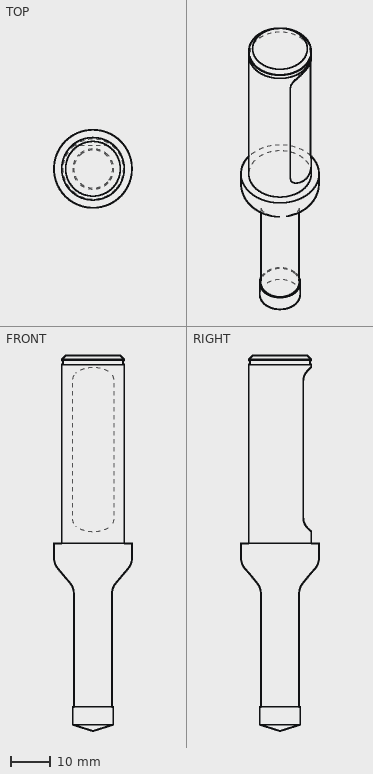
import cadquery as cq
import math

total_length = 96.0
shank_length = 48.0
shank_diameter = 15.99
shank_chamfer = 1.0

groove_top_drop = 1.2
groove_width = 1.2
groove_depth = 0.3

clamp_flat_depth = 2.0
clamp_flat_margin = 3.0
clamp_corner_radius = 3.5
clamp_bevel = math.radians(45)

flange_diameter = 20.0
flange_height = 3.8
flange_fillet_radius = 4.0
neck_diameter = 9.8
neck_fillet_radius = 4.0
flare_angle = math.radians(40)

tip_diameter = 10.4
tip_band_height = 4.55
tip_point_height = 1.65

point_z = shank_length - total_length
tip_band_bottom_z = point_z + tip_point_height
tip_seat_z = tip_band_bottom_z + tip_band_height


def arc_offset(radius, angle):
    """Radial and axial travel along an arc that starts parallel to the axis."""
    return radius * (1 - math.cos(angle)), radius * math.sin(angle)


def make_holder_blank():
    """Shank, flange, flared cone and neck, revolved about Z."""
    shank_r = shank_diameter / 2
    flange_r = flange_diameter / 2
    neck_r = neck_diameter / 2

    groove_top_z = shank_length - groove_top_drop
    groove_bottom_z = groove_top_z - groove_width
    groove_middle_z = (groove_top_z + groove_bottom_z) / 2

    upper_end = arc_offset(flange_fillet_radius, flare_angle)
    upper_mid = arc_offset(flange_fillet_radius, flare_angle / 2)
    lower_start = arc_offset(neck_fillet_radius, flare_angle)
    lower_mid = arc_offset(neck_fillet_radius, flare_angle / 2)

    cone_top_r = flange_r - upper_end[0]
    cone_top_z = -flange_height - upper_end[1]
    cone_bottom_r = neck_r + lower_start[0]
    cone_bottom_z = cone_top_z - (cone_top_r - cone_bottom_r) / math.tan(flare_angle)
    neck_top_z = cone_bottom_z - lower_start[1]

    profile = (
        cq.Workplane("XZ")
        .moveTo(0, shank_length)
        .lineTo(shank_r - shank_chamfer, shank_length)
        .lineTo(shank_r, shank_length - shank_chamfer)
        .lineTo(shank_r, groove_top_z)
        .threePointArc((shank_r - groove_depth, groove_middle_z), (shank_r, groove_bottom_z))
        .lineTo(shank_r, 0)
        .lineTo(flange_r, 0)
        .lineTo(flange_r, -flange_height)
        .threePointArc((flange_r - upper_mid[0], -flange_height - upper_mid[1]), (cone_top_r, cone_top_z))
        .lineTo(cone_bottom_r, cone_bottom_z)
        .threePointArc((neck_r + lower_mid[0], neck_top_z + lower_mid[1]), (neck_r, neck_top_z))
        .lineTo(neck_r, tip_seat_z)
        .lineTo(0, tip_seat_z)
        .close()
    )
    return profile.revolve(360, (0, 0, 0), (0, 1, 0))


def make_clamp_flat_cutter():
    """Flat on the +Y side of the shank with rounded 45-degree run-outs at both ends."""
    shank_r = shank_diameter / 2
    flat_y = shank_r - clamp_flat_depth
    corner_y, corner_z = arc_offset(clamp_corner_radius, clamp_bevel)
    corner_end_y = flat_y + corner_y
    middle_y, middle_z = arc_offset(clamp_corner_radius, clamp_bevel / 2)

    low_z = clamp_flat_margin
    high_z = shank_length - clamp_flat_margin
    bevel_height = (clamp_flat_depth - corner_y) / math.tan(clamp_bevel)
    flat_low_z = low_z + bevel_height + corner_z
    flat_high_z = high_z - bevel_height - corner_z

    profile = (
        cq.Workplane("YZ")
        .moveTo(shank_r, low_z)
        .lineTo(corner_end_y, low_z + bevel_height)
        .threePointArc((flat_y + middle_y, flat_low_z - middle_z), (flat_y, flat_low_z))
        .lineTo(flat_y, flat_high_z)
        .threePointArc((flat_y + middle_y, flat_high_z + middle_z), (corner_end_y, high_z - bevel_height))
        .lineTo(shank_r, high_z)
        .close()
    )
    return profile.extrude(shank_r, both=True)


def make_holder():
    return make_holder_blank().cut(make_clamp_flat_cutter())


def make_tip():
    """Cylindrical cutting tip with a shallow conical point, seated on the neck end."""
    tip_r = tip_diameter / 2
    profile = (
        cq.Workplane("XZ")
        .moveTo(0, tip_seat_z)
        .lineTo(tip_r, tip_seat_z)
        .lineTo(tip_r, tip_band_bottom_z)
        .lineTo(0, point_z)
        .close()
    )
    return profile.revolve(360, (0, 0, 0), (0, 1, 0))


holder = make_holder()
tip = make_tip()

result = cq.Compound.makeCompound([holder.val(), tip.val()])